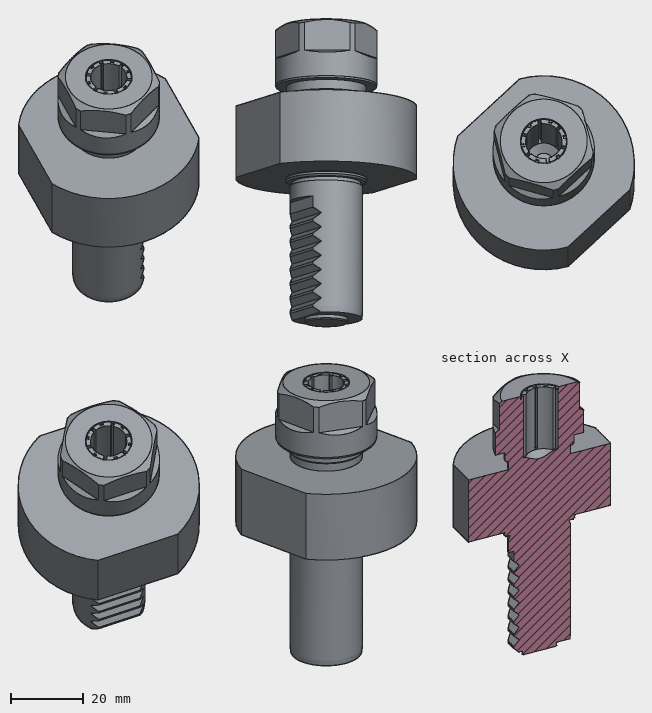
import cadquery as cq
import math

total_height = 83.1
disk_bottom = 40.65
disk_thickness = 20.0
disk_top = disk_bottom + disk_thickness
nut_bottom = 66.25
shank_bottom = 1.25

disk_diameter = 50.0
disk_width = 44.0

shank_radius = 20.0 / 2
shank_taper_height = 1.6
shank_taper = 0.2
flange_radius = 22.5 / 2
flange_height = 1.3
flange_top_bevel = 0.25
flange_bottom_bevel = 0.5
relief_depth = 0.5
relief_height = 1.1
pin_radius = 12.0 / 2
pin_bevel = 0.3

rack_flat_offset = 8.0
rack_top = 33.9
tooth_depth = 1.7
tooth_pitch = 4.0
first_root_height = 29.1
root_count = 8

neck_radius = shank_radius
collar_radius = 22.0 / 2
collar_bottom = 63.2
collar_bevel = 0.5

nut_radius = 28.0 / 2
nut_rim_height = 0.5
nut_rim_taper = 0.2
nut_face_radius = 23.9 / 2
nut_slope = math.tan(math.radians(30))
hex_width = 25.0
hex_sides = 6
hex_bottom = 74.2

nut_bore_radius = 12.8 / 2
collet_radius = 12.5 / 2
collet_recess = 0.2
gap_depth = 1.0
bore_radius = 10.0 / 2
bore_depth = 19.95
bore_end_radius = 2.5
bore_cone_angle = 118.0
bore_cone_height = (bore_radius - bore_end_radius) / math.tan(math.radians(bore_cone_angle / 2))
slot_width = 0.8
slot_count = 6
slot_depth = bore_depth
slot_turn = -2.0
notch_depth = 0.7
notch_height = gap_depth


def turned(points):
    """Solid of revolution about Z from (radius, height) points."""
    return cq.Workplane("XZ").polyline(points).close().revolve(360, (0, 0, 0), (0, 1, 0))


def make_disk():
    disk = cq.Workplane("XY").workplane(offset=disk_bottom).circle(disk_diameter / 2).extrude(disk_thickness)
    slab = (
        cq.Workplane("XY")
        .workplane(offset=disk_bottom)
        .rect(2 * disk_diameter, disk_width)
        .extrude(disk_thickness)
    )
    return disk.intersect(slab)


def make_shank():
    flange_bottom = disk_bottom - flange_height
    return turned([
        (0, 0),
        (pin_radius - pin_bevel, 0),
        (pin_radius, pin_bevel),
        (pin_radius, shank_bottom),
        (shank_radius - shank_taper, shank_bottom),
        (shank_radius, shank_bottom + shank_taper_height),
        (shank_radius, flange_bottom - relief_height),
        (shank_radius - relief_depth, flange_bottom),
        (flange_radius - flange_bottom_bevel, flange_bottom),
        (flange_radius, flange_bottom + flange_bottom_bevel),
        (flange_radius, disk_bottom - flange_top_bevel),
        (flange_radius - flange_top_bevel, disk_bottom),
        (0, disk_bottom),
    ])


def make_rack_cutter():
    """Region removed from the +Y side: a flat with a row of 90 degree V grooves."""
    outside = 2 * shank_radius
    outline = [(outside, rack_top), (rack_flat_offset, rack_top)]
    for index in range(root_count):
        root = first_root_height - index * tooth_pitch
        outline.append((rack_flat_offset, root + tooth_depth))
        outline.append((rack_flat_offset - tooth_depth, root))
        outline.append((rack_flat_offset, root - tooth_depth))
    last_root = first_root_height - (root_count - 1) * tooth_pitch
    outline.append((outside, last_root - tooth_depth))
    return cq.Workplane("YZ").polyline(outline).close().extrude(shank_radius, both=True)


def make_neck():
    return turned([
        (0, disk_top),
        (neck_radius, disk_top),
        (neck_radius, collar_bottom),
        (collar_radius - collar_bevel, collar_bottom),
        (collar_radius, collar_bottom + collar_bevel),
        (collar_radius, nut_bottom),
        (0, nut_bottom),
    ])


def make_nut():
    nut = turned([
        (0, nut_bottom),
        (nut_radius - nut_rim_taper, nut_bottom),
        (nut_radius, nut_bottom + nut_rim_height),
        (nut_radius, total_height - (nut_radius - nut_face_radius) * nut_slope),
        (nut_face_radius, total_height),
        (0, total_height),
    ])
    flat_offset = hex_width / 2
    outside = 2 * nut_radius
    flat_cutter = (
        cq.Workplane("YZ")
        .polyline([
            (flat_offset, total_height),
            (flat_offset, hex_bottom),
            (outside, hex_bottom - (outside - flat_offset) * nut_slope),
            (outside, total_height),
        ])
        .close()
        .extrude(nut_radius, both=True)
    )
    for index in range(hex_sides):
        nut = nut.cut(flat_cutter.rotate((0, 0, 0), (0, 0, 1), index * 360 / hex_sides))
    return nut


def radial_slot(inner, outer, depth, angle):
    """Box from radius inner to outer, sunk from the top face and turned to angle."""
    return (
        cq.Workplane("XY")
        .box(outer - inner, slot_width, depth, centered=(False, True, False))
        .translate((inner, 0, total_height - depth))
        .rotate((0, 0, 0), (0, 0, 1), angle)
    )


def make_collet_cutter():
    bore_bottom = total_height - bore_depth
    cutter = turned([
        (0, bore_bottom - bore_cone_height),
        (bore_end_radius, bore_bottom - bore_cone_height),
        (bore_radius, bore_bottom),
        (bore_radius, total_height - collet_recess),
        (collet_radius, total_height - collet_recess),
        (collet_radius, total_height - gap_depth),
        (nut_bore_radius, total_height - gap_depth),
        (nut_bore_radius, total_height),
        (0, total_height),
    ])
    slot_spacing = 360 / slot_count
    for index in range(slot_count):
        angle = slot_turn + index * slot_spacing
        cutter = cutter.union(radial_slot(0, collet_radius, slot_depth, angle))
        cutter = cutter.union(
            radial_slot(collet_radius - notch_depth, collet_radius, notch_height, angle + slot_spacing / 2)
        )
    return cutter


shank = make_shank().cut(make_rack_cutter())
body = make_disk().union(shank).union(make_neck()).union(make_nut())
result = body.cut(make_collet_cutter())